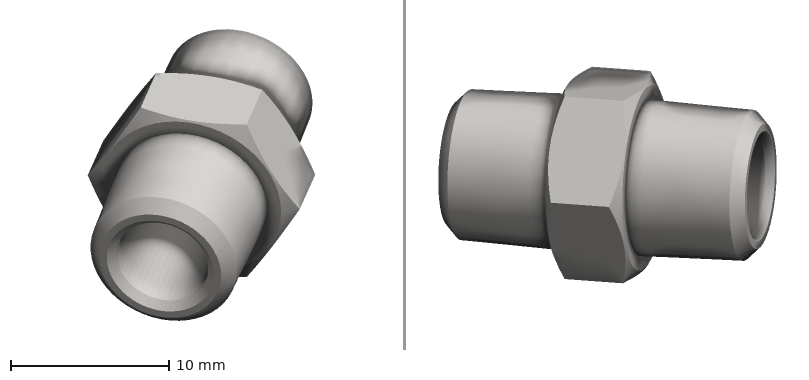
import cadquery as cq
import math

length = 20.0
hex_width = 5.0
across_flats = 12.0
across_corners = across_flats / math.cos(math.radians(30))

root_radius = 4.95
tip_radius = 4.78
tip_chamfer = 0.8

bore_radius = 3.0
bore_chamfer = 0.5

hex_face_radius = 5.88
hex_chamfer_angle = 30.0

half_length = length / 2
half_hex = hex_width / 2


def revolve_about_y(points):
    """Turn a closed (radius, y) outline about the Y axis."""
    return cq.Workplane("XY").polyline(points).close().revolve(360, (0, 0, 0), (0, 1, 0))


def make_hexagon():
    """Hexagon with corners on X, trimmed by a cone at both faces."""
    prism = cq.Workplane("XZ").polygon(6, across_corners).extrude(half_hex, both=True)
    corner_radius = across_corners / 2
    outer_radius = corner_radius + 0.2
    drop = (outer_radius - hex_face_radius) * math.tan(math.radians(hex_chamfer_angle))
    envelope = revolve_about_y([
        (0, -half_hex),
        (hex_face_radius, -half_hex),
        (outer_radius, -half_hex + drop),
        (outer_radius, half_hex - drop),
        (hex_face_radius, half_hex),
        (0, half_hex),
    ])
    return prism.intersect(envelope)


def make_spigots():
    """Two opposed spigots that taper away from the hexagon and end in chamfers."""
    chamfer_start = half_length - tip_chamfer
    face_radius = tip_radius - tip_chamfer
    spigot = revolve_about_y([
        (0, 0),
        (root_radius, 0),
        (root_radius, half_hex),
        (tip_radius, chamfer_start),
        (face_radius, half_length),
        (0, half_length),
    ])
    return spigot.union(spigot.mirror("XZ"))


def make_bore():
    """Through bore with a countersink at each end."""
    mouth_radius = bore_radius + bore_chamfer
    chamfer_start = half_length - bore_chamfer
    return revolve_about_y([
        (0, -half_length),
        (mouth_radius, -half_length),
        (bore_radius, -chamfer_start),
        (bore_radius, chamfer_start),
        (mouth_radius, half_length),
        (0, half_length),
    ])


result = make_hexagon().union(make_spigots()).cut(make_bore())